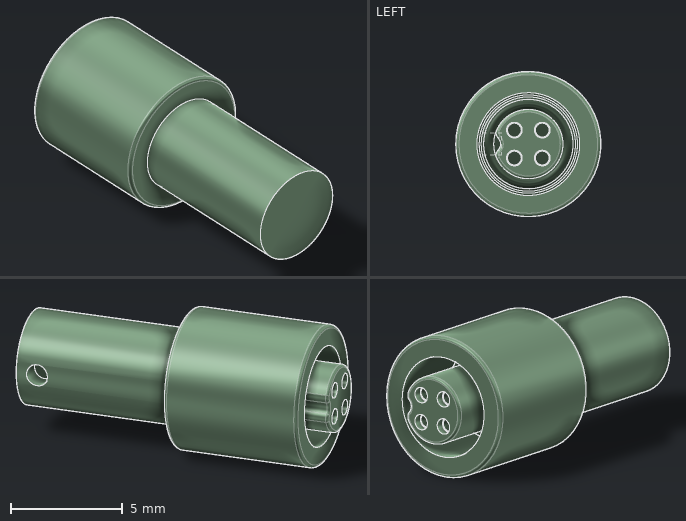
import cadquery as cq


total_length = 14.67
nose_length = 0.8
sleeve_length = 6.4
sleeve_front = nose_length
sleeve_rear = sleeve_front + sleeve_length

sleeve_radius = 3.25
sleeve_edge_radius = 0.15
sleeve_bore_radius = 2.3
sleeve_bore_depth = 3.6

stem_radius = 2.2
neck_radius = 2.11
neck_edge_radius = 0.1
neck_length = 0.3
shoulder_x = sleeve_front + sleeve_bore_depth
neck_front = shoulder_x - neck_length
side_hole_diameter = 1.0
side_hole_depth = 1.0
side_hole_from_end = 1.0

insert_radius = 1.55
insert_edge_radius = 0.12
insert_seat_depth = 1.5
insert_rear = neck_front + insert_seat_depth
key_radius = 0.38
key_bottom = 1.24
key_lip_radius = 0.35

ring_cord_radius = 0.225
ring_centre_radius = insert_radius + ring_cord_radius
ring_centre_x = neck_front - ring_cord_radius

contact_spacing = 1.25
contact_radius = 0.35
contact_bore_radius = 0.31
contact_bore_depth = 2.5
contact_recess = 0.4
contact_offsets = (-contact_spacing / 2, contact_spacing / 2)
contact_places = [(y, z) for y in contact_offsets for z in contact_offsets]


def cylinder(radius, start, end, y=0, z=0):
    """Solid cylinder along X from start to end, centred on (y, z)."""
    plane = cq.Workplane("YZ", origin=(start, y, z))
    return plane.circle(radius).extrude(end - start)


def make_sleeve():
    body = cylinder(sleeve_radius, sleeve_front, sleeve_rear).edges().fillet(sleeve_edge_radius)
    front_bore = cylinder(sleeve_bore_radius, sleeve_front, shoulder_x)
    stem_bore = cylinder(stem_radius, shoulder_x, sleeve_rear)
    return body.cut(front_bore).cut(stem_bore)


def make_rear_body():
    stem = cylinder(stem_radius, shoulder_x, total_length)
    neck = cylinder(neck_radius, neck_front, shoulder_x).faces("<X").edges().fillet(neck_edge_radius)
    insert_seat = cylinder(insert_radius, neck_front, insert_rear)
    hole_plane = cq.Workplane("XZ", origin=(total_length - side_hole_from_end, stem_radius, 0))
    side_hole = hole_plane.circle(side_hole_diameter / 2).extrude(side_hole_depth)
    return stem.union(neck).cut(insert_seat).cut(side_hole)


def make_contact(y, z):
    tube = cylinder(contact_radius, contact_recess, insert_rear, y, z)
    bore = cylinder(contact_bore_radius, contact_recess, contact_recess + contact_bore_depth, y, z)
    return tube.cut(bore)


def make_insert():
    keyway = cylinder(key_radius, 0, neck_front, y=key_bottom + key_radius)
    front = cylinder(insert_radius, 0, neck_front).cut(keyway)
    keyway_zone = cq.selectors.BoxSelector(
        (0, key_bottom, -key_radius),
        (neck_front, insert_radius, key_radius),
    )
    front = front.edges(keyway_zone).edges("|X").fillet(key_lip_radius)
    front = front.faces("<X").edges().fillet(insert_edge_radius)

    seated_end = cylinder(insert_radius, neck_front, insert_rear)
    body = front.union(seated_end)
    for y, z in contact_places:
        body = body.cut(cylinder(contact_radius, 0, insert_rear, y, z))
    return body


def make_sealing_ring():
    section = cq.Workplane("XY").moveTo(ring_centre_x, ring_centre_radius).circle(ring_cord_radius)
    return section.revolve(360, (0, 0), (1, 0))


sleeve = make_sleeve()
rear_body = make_rear_body()
insert = make_insert()
sealing_ring = make_sealing_ring()
contacts = [make_contact(y, z) for y, z in contact_places]

result = cq.Compound.makeCompound(
    [
        sleeve.val(),
        rear_body.val(),
        insert.val(),
        sealing_ring.val(),
        *[contact.val() for contact in contacts],
    ]
)